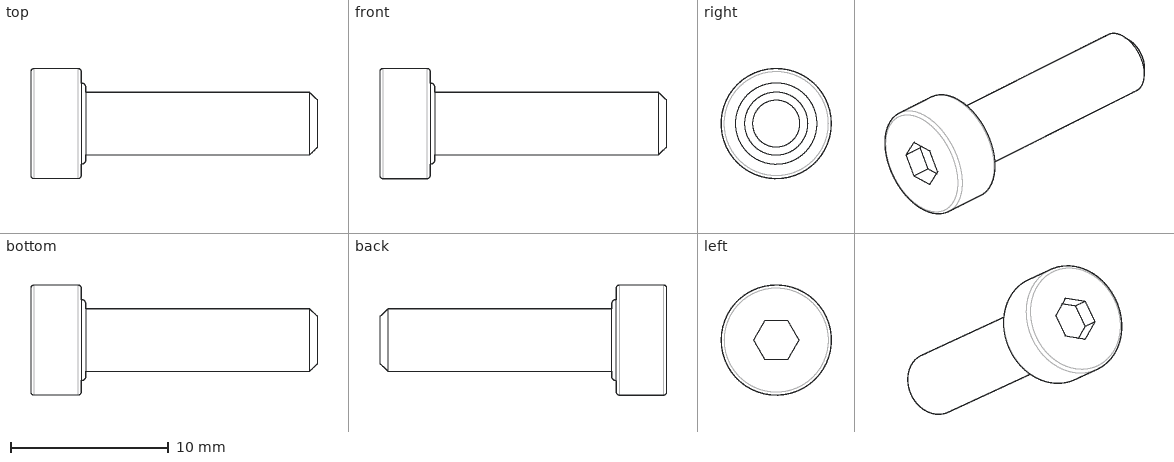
import cadquery as cq
import math

total_length = 18.2
head_diameter = 7.0
head_length = 3.2
head_fillet = 0.2
shank_diameter = 4.0
tip_chamfer_length = 0.53
tip_chamfer_depth = 0.51
socket_across_flats = 2.5
socket_depth = 1.24
ring_section_radius = 0.3

head_face_x = -total_length / 2
tip_x = total_length / 2
seat_x = head_face_x + head_length
head_radius = head_diameter / 2
shank_radius = shank_diameter / 2

ring_centre_radius = shank_radius + ring_section_radius
ring_outer_radius = ring_centre_radius + ring_section_radius


def make_blank():
    """Head and shank turned about X, with a half-round ring groove in the seat."""
    corner_inset = head_fillet * (1 - math.sqrt(0.5))
    corner_radius = head_radius - corner_inset
    profile = (
        cq.Workplane("XY")
        .moveTo(head_face_x, 0)
        .lineTo(head_face_x, head_radius - head_fillet)
        .threePointArc(
            (head_face_x + corner_inset, corner_radius),
            (head_face_x + head_fillet, head_radius),
        )
        .lineTo(seat_x - head_fillet, head_radius)
        .threePointArc(
            (seat_x - corner_inset, corner_radius),
            (seat_x, head_radius - head_fillet),
        )
        .lineTo(seat_x, ring_outer_radius)
        .threePointArc(
            (seat_x - ring_section_radius, ring_centre_radius),
            (seat_x, shank_radius),
        )
        .lineTo(tip_x - tip_chamfer_length, shank_radius)
        .lineTo(tip_x, shank_radius - tip_chamfer_depth)
        .lineTo(tip_x, 0)
        .close()
    )
    return profile.revolve(360, (0, 0, 0), (1, 0, 0))


def make_socket():
    """Hexagonal drive recess with two of its corners along Y."""
    across_corners = socket_across_flats / math.cos(math.pi / 6)
    return (
        cq.Workplane("YZ", origin=(head_face_x, 0, 0))
        .polygon(6, across_corners)
        .extrude(socket_depth)
    )


def make_screw():
    return make_blank().cut(make_socket()).solids()


def make_seal_ring():
    """Round-section ring seated in the groove under the head."""
    return (
        cq.Workplane("XY")
        .center(seat_x, ring_centre_radius)
        .circle(ring_section_radius)
        .revolve(360, (0, -ring_centre_radius, 0), (1, -ring_centre_radius, 0))
    )


screw = make_screw()
seal_ring = make_seal_ring()

result = cq.Compound.makeCompound([screw.val(), seal_ring.val()])